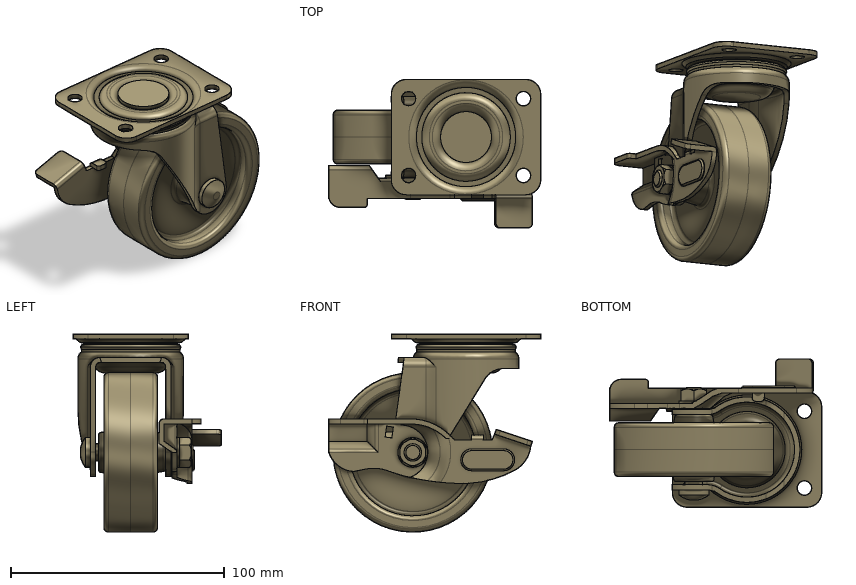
import cadquery as cq
import math


overall_length = 99.3

plate_length = 70.0
plate_width = 54.0
plate_thickness = 2.3
plate_corner_radius = 7.0
hole_spacing_x = 53.7
hole_spacing_y = 35.9
hole_diameter = 6.7
dish_floor_z = -4.4
dish_floor_radius = 21.8
dish_edge_radius = 23.8
dish_edge_z = -3.9
dish_top_radius = 25.6
groove_outer_radius = 26.8
groove_floor_outer_radius = 23.2
groove_floor_inner_radius = 20.7
groove_floor_z = -2.1
groove_inner_radius = 17.2
countersink_radius = 15.8
countersink_depth = 1.9

kingpin_radius = 11.9
kingpin_bottom_z = -15.9

fork_sheet = 2.5
fork_outer_y = 18.9
head_radius = 24.7
head_top_z = -8.4
head_rim_radius = 23.1
head_rim_z = -11.6
leg_blend_radius = 7.9
shoulder_top_z = -10.9
shoulder_fillet = 4.5
shoulder_x = -29.0
shoulder_bulge = 2.8
skirt_bottom_z = -16.2
skirt_fillet = 9.9
leg_eye_z = -56.6
leg_eye_radius = 10.1
leg_back_lean = math.radians(7.7)
leg_front_lean = math.radians(31.6)
collar_seat_radius = 21.6
collar_top_radius = 22.8
collar_top_z = -5.0
collar_ridge_radius = 23.5
collar_ridge_z = -6.1
collar_neck_z = -7.2
cup_rim_radius = 17.9
cup_side_radius = 16.9
cup_side_z = -15.4
cup_floor_radius = 11.2
cup_floor_z = -18.3

axle_x = -24.9
axle_z = -55.4
wheel_radius = 37.3
wheel_half_width = 12.6
tread_round = 2.2
rim_inner_radius = 31.9
rim_wall_radius = 29.7
web_radius = 27.7
web_half_width = 5.0
hub_root_radius = 12.2
hub_neck_radius = 10.5
hub_neck_y = 6.9
hub_radius = 9.4
hub_end_y = 15.0
brake_hub_radius = 8.9
hub_round = 1.2

bolt_radius = 4.1
bolt_head_radius = 7.0
bolt_head_side = 2.3
bolt_head_height = 4.7
bolt_head_flat_radius = 2.0
bolt_tip_y = -29.2
bolt_tip_chamfer = 0.8
nut_outer_y = -28.3
nut_flange_thickness = 1.2
nut_corner_radius = 6.9
nut_corner_chamfer = 0.8

pedal_sheet = 2.4
pedal_back_y = -19.3
handle_face_y = -28.8
pedal_top_z = -39.7
pedal_left_x = plate_length / 2 - overall_length
crown_x = -25.9
crown_radius = 25.9
crown_angle = math.radians(45)
lever_top_z = -49.5
lever_notch_x = 12.1
tip_middle = (28.2, -58.7)
tip_end = (23.0, -63.6)
belly_front = (10.0, -68.6)
belly_bottom = (-4.0, -69.9)
belly_back = (-17.5, -68.7)
belly_end = (-31.6, -65.7)
waist_start = (-37.1, -63.8)
waist_middle = (-42.1, -62.8)
waist_end = (-46.7, -63.1)
heel_start = (-52.6, -64.3)
heel_middle = (-61.2, -60.5)
heel_top_z = -55.2
pedal_clear_z = -74.5
bowl_x = -30.5
bowl_z = -55.2
bowl_inner_radius = 12.6
bowl_cone_radius = 18.4
bowl_cone_y = -26.7
bowl_outer_radius = 23.3

pocket_back_y = -13.3
pocket_right_x = -45.3
pocket_bottom_z = -51.2
pocket_slope = 4.2
pocket_rim_bend = 2.0
pocket_wall_shift = 1.0

rest_outer_y = -33.0
rest_right_x = -46.2
rest_left_round = 5.5
rest_right_round = 1.5
flange_bend = 2.2
flange_edge_bend = 1.5

foot_start = (14.1, -44.6)
foot_end = (31.1, -50.2)
foot_slope = math.atan2(foot_start[1] - foot_end[1], foot_end[0] - foot_start[0])
foot_outer_y = -42.5
foot_round = 2.1
foot_bend = 2.3

lip_left_x = 2.5
lip_right_x = 8.1
lip_top_z = -47.3
lip_inner_y = -22.6
lip_bend = 2.0
lip_round = 1.5

emboss_x = 10.1
emboss_z = -58.9
emboss_length = 25.2
emboss_height = 10.2
emboss_depth = 1.1
emboss_chamfer = 0.8

window_x = -35.9
window_z = -45.9
window_width = 3.2
window_height = 5.2
tongue_inner_y = -17.9


def box(x0, x1, y0, y1, z0, z1):
    """Box between two opposite corners."""
    return cq.Workplane("XY").box(x1 - x0, y1 - y0, z1 - z0, centered=False).translate((x0, y0, z0))


def cylinder_y(x, z, radius, y0, y1):
    """Cylinder along Y from y0 to y1."""
    return cq.Workplane(cq.Solid.makeCylinder(radius, y1 - y0, cq.Vector(x, y0, z), cq.Vector(0, 1, 0)))


def turned_z(profile):
    """Revolve an XZ profile around the swivel axis."""
    return profile.close().revolve(360, (0, 0, 0), (0, 1, 0))


def turned_y(profile, x, z):
    """Revolve an XY profile, X being the radius, around Y and move it to (x, z)."""
    return profile.close().revolve(360, (0, 0, 0), (0, 1, 0)).translate((x, 0, z))


def extruded_y(profile, y0, y1):
    """Extrude a closed XZ profile between two Y positions."""
    return profile.extrude(-(y1 - y0)).translate((0, y0, 0))


def make_plate():
    sheet = (
        cq.Workplane("XY")
        .rect(plate_length, plate_width)
        .extrude(-plate_thickness)
        .edges("|Z")
        .fillet(plate_corner_radius)
    )
    dish = turned_z(
        cq.Workplane("XZ")
        .moveTo(0, -plate_thickness / 2)
        .lineTo(dish_top_radius, -plate_thickness / 2)
        .lineTo(dish_top_radius, -plate_thickness)
        .lineTo(dish_edge_radius, dish_edge_z)
        .lineTo(dish_floor_radius, dish_floor_z)
        .lineTo(0, dish_floor_z)
    )
    groove = turned_z(
        cq.Workplane("XZ")
        .moveTo(groove_outer_radius, 0)
        .threePointArc(
            ((groove_outer_radius + groove_floor_outer_radius) / 2, groove_floor_z / 4),
            (groove_floor_outer_radius, groove_floor_z),
        )
        .lineTo(groove_floor_inner_radius, groove_floor_z)
        .threePointArc(
            ((groove_floor_inner_radius + groove_inner_radius) / 2, groove_floor_z / 4),
            (groove_inner_radius, 0),
        )
    )
    countersink = turned_z(
        cq.Workplane("XZ")
        .moveTo(countersink_radius, 0)
        .threePointArc(
            ((countersink_radius + kingpin_radius) / 2, -countersink_depth / 3),
            (kingpin_radius, -countersink_depth),
        )
        .lineTo(0, -countersink_depth)
        .lineTo(0, 0)
    )
    mounting_holes = (
        cq.Workplane("XY")
        .rect(hole_spacing_x, hole_spacing_y, forConstruction=True)
        .vertices()
        .circle(hole_diameter / 2)
        .extrude(-plate_thickness)
    )
    kingpin_hole = cq.Workplane("XY").circle(kingpin_radius).extrude(dish_floor_z)
    return sheet.union(dish).cut(groove).cut(countersink).cut(mounting_holes).cut(kingpin_hole)


def make_kingpin():
    return cq.Workplane("XY").circle(kingpin_radius).extrude(kingpin_bottom_z)


def fork_plan(inset):
    """Plan of two parallel legs blended into the round head, inset by a wall thickness."""
    radius = head_radius - inset
    half_width = fork_outer_y - inset
    blend = leg_blend_radius + inset
    back_x = axle_x - 2 * leg_eye_radius
    blend_x = -math.sqrt((radius + blend) ** 2 - (half_width + blend) ** 2)
    blend_y = half_width + blend
    touch = radius / (radius + blend)
    touch_angle = math.atan2(blend_y, -blend_x)
    mid_angle = (touch_angle + math.pi / 2) / 2
    mid_x = blend_x + blend * math.cos(mid_angle)
    mid_y = blend_y - blend * math.sin(mid_angle)
    return (
        cq.Workplane("XY")
        .moveTo(back_x, -half_width)
        .lineTo(blend_x, -half_width)
        .threePointArc((mid_x, -mid_y), (blend_x * touch, -blend_y * touch))
        .threePointArc((radius, 0), (blend_x * touch, blend_y * touch))
        .threePointArc((mid_x, mid_y), (blend_x, half_width))
        .lineTo(back_x, half_width)
        .close()
    )


def fork_shell_block(inset, top_z):
    """Fork plan extruded down from top_z, with a rounded top edge."""
    depth = top_z - (leg_eye_z - 2 * leg_eye_radius)
    block = fork_plan(inset).extrude(-depth).translate((0, 0, top_z))
    return block.faces(">Z").edges("not <X").fillet(shoulder_fillet - inset)


def leg_side():
    """Side outline of the legs: a rounded eye with two tangent edges rising to the head."""
    back_normal = (-math.cos(leg_back_lean), math.sin(leg_back_lean))
    front_normal = (math.cos(leg_front_lean), -math.sin(leg_front_lean))
    back_x = axle_x + leg_eye_radius * back_normal[0]
    back_z = leg_eye_z + leg_eye_radius * back_normal[1]
    front_x = axle_x + leg_eye_radius * front_normal[0]
    front_z = leg_eye_z + leg_eye_radius * front_normal[1]
    back_top_x = back_x - back_z * math.tan(leg_back_lean)
    front_reach = plate_length / 2
    skirt_x = front_x + (skirt_bottom_z - front_z) * math.tan(leg_front_lean)
    outline = (
        cq.Workplane("XZ")
        .moveTo(back_top_x, 0)
        .lineTo(front_reach, 0)
        .lineTo(front_reach, skirt_bottom_z)
        .lineTo(skirt_x, skirt_bottom_z)
        .lineTo(front_x, front_z)
        .threePointArc((axle_x, leg_eye_z - leg_eye_radius), (back_x, back_z))
        .close()
    )
    side = extruded_y(outline, -front_reach, front_reach)
    corner = cq.selectors.NearestToPointSelector((skirt_x, 0, skirt_bottom_z))
    return side.edges("|Y").edges(corner).fillet(skirt_fillet)


def make_fork():
    head_bottom_z = shoulder_top_z - shoulder_fillet
    rim_drop = head_top_z - head_rim_z
    head = turned_z(
        cq.Workplane("XZ")
        .moveTo(0, head_top_z)
        .lineTo(head_rim_radius, head_top_z)
        .threePointArc(
            (head_radius - 0.2 * (head_radius - head_rim_radius), head_top_z - rim_drop / 2),
            (head_radius, head_rim_z),
        )
        .lineTo(head_radius, head_bottom_z)
        .lineTo(0, head_bottom_z)
    )
    shell = fork_shell_block(0, shoulder_top_z)
    cavity = fork_shell_block(fork_sheet, shoulder_top_z - fork_sheet)
    shell = shell.cut(cavity).intersect(leg_side()).union(head.cut(cavity))

    half_bridge = fork_outer_y - shoulder_fillet
    bridge_edge = (
        cq.Workplane("XY")
        .moveTo(shoulder_x + shoulder_bulge, -half_bridge)
        .lineTo(shoulder_x, -half_bridge)
        .threePointArc((shoulder_x - shoulder_bulge, 0), (shoulder_x, half_bridge))
        .lineTo(shoulder_x + shoulder_bulge, half_bridge)
        .close()
        .extrude(-fork_sheet)
        .translate((0, 0, shoulder_top_z))
    )
    collar = turned_z(
        cq.Workplane("XZ")
        .moveTo(0, dish_floor_z)
        .lineTo(collar_seat_radius, dish_floor_z)
        .lineTo(collar_seat_radius, collar_top_z)
        .lineTo(collar_top_radius, collar_top_z)
        .lineTo(collar_ridge_radius, collar_ridge_z)
        .lineTo(head_rim_radius, collar_neck_z)
        .lineTo(head_rim_radius, head_top_z)
        .lineTo(0, head_top_z)
    )
    cup = turned_z(
        cq.Workplane("XZ")
        .moveTo(0, shoulder_top_z - fork_sheet)
        .lineTo(cup_rim_radius, shoulder_top_z - fork_sheet)
        .lineTo(cup_side_radius, cup_side_z)
        .threePointArc(
            (0.6 * cup_side_radius + 0.4 * cup_floor_radius, 0.25 * cup_side_z + 0.75 * cup_floor_z),
            (cup_floor_radius, cup_floor_z),
        )
        .lineTo(0, cup_floor_z)
    )
    fork = shell.union(bridge_edge).union(collar).union(cup)
    return fork.cut(make_kingpin()).cut(make_bolt())


def wheel_half(end_y, end_radius):
    """Half of the wheel on the +Y side of its middle plane, with a hub that narrows to its end face."""
    wall_round = rim_inner_radius - rim_wall_radius
    bend = 1 - math.sqrt(0.5)
    profile = (
        cq.Workplane("XY")
        .moveTo(bolt_radius, 0)
        .lineTo(bolt_radius, end_y)
        .lineTo(end_radius - hub_round, end_y)
        .threePointArc(
            (end_radius - bend * hub_round, end_y - bend * hub_round),
            (end_radius, end_y - hub_round),
        )
        .lineTo(hub_neck_radius, hub_neck_y)
        .threePointArc(
            (0.7 * hub_neck_radius + 0.3 * hub_root_radius, 0.3 * hub_neck_y + 0.7 * web_half_width),
            (hub_root_radius, web_half_width),
        )
        .lineTo(web_radius, web_half_width)
        .radiusArc(
            (rim_wall_radius, web_half_width + rim_wall_radius - web_radius),
            web_radius - rim_wall_radius,
        )
        .lineTo(rim_wall_radius, wheel_half_width - wall_round)
        .radiusArc((rim_inner_radius, wheel_half_width), wall_round)
        .lineTo(wheel_radius - tread_round, wheel_half_width)
        .radiusArc((wheel_radius, wheel_half_width - tread_round), tread_round)
        .lineTo(wheel_radius, 0)
    )
    return turned_y(profile, axle_x, axle_z)


def make_wheel():
    far_half = wheel_half(hub_end_y, hub_radius)
    brake_half = wheel_half(fork_outer_y - fork_sheet, brake_hub_radius).mirror("XZ")
    return far_half.union(brake_half).clean()


def make_bolt():
    head_end_y = fork_outer_y + bolt_head_height
    dome_y = fork_outer_y + bolt_head_side
    profile = (
        cq.Workplane("XY")
        .moveTo(0, bolt_tip_y)
        .lineTo(bolt_radius - bolt_tip_chamfer, bolt_tip_y)
        .lineTo(bolt_radius, bolt_tip_y + bolt_tip_chamfer)
        .lineTo(bolt_radius, fork_outer_y)
        .lineTo(bolt_head_radius, fork_outer_y)
        .lineTo(bolt_head_radius, dome_y)
        .threePointArc(
            ((bolt_head_radius + bolt_head_flat_radius) / 2, (dome_y + 2 * head_end_y) / 3),
            (bolt_head_flat_radius, head_end_y),
        )
        .lineTo(0, head_end_y)
    )
    return turned_y(profile, axle_x, axle_z)


def make_nut():
    seat_y = pedal_back_y - pedal_sheet
    flange_y = seat_y - nut_flange_thickness
    flange = cylinder_y(axle_x, axle_z, nut_corner_radius, flange_y, seat_y)
    hexagon = (
        cq.Workplane("XZ")
        .polygon(6, 2 * nut_corner_radius)
        .extrude(flange_y - nut_outer_y)
        .rotate((0, 0, 0), (0, 1, 0), 30)
        .translate((axle_x, flange_y, axle_z))
    )
    corner_trim = cylinder_y(axle_x, axle_z, nut_corner_radius, nut_outer_y, flange_y)
    corner_trim = corner_trim.faces("<Y").chamfer(nut_corner_chamfer)
    bore = cylinder_y(axle_x, axle_z, bolt_radius, nut_outer_y, seat_y)
    return hexagon.intersect(corner_trim).union(flange).cut(bore)


def crown_point(inset, angle):
    """Point on the curved top of the pedal, inset from its surface."""
    radius = crown_radius - inset
    return (crown_x + radius * math.sin(angle), pedal_top_z - crown_radius + radius * math.cos(angle))


def pedal_outline():
    """Side outline of the pedal, from the flat top round to the swept lower edge."""
    crown_end = crown_point(0, crown_angle)
    under = (pedal_sheet * math.sin(foot_slope), pedal_sheet * math.cos(foot_slope))
    lever_start_x = crown_end[0] + (crown_end[1] - lever_top_z) / math.tan(crown_angle)
    return (
        cq.Workplane("XZ")
        .moveTo(pedal_left_x, pedal_top_z)
        .lineTo(crown_x, pedal_top_z)
        .threePointArc(crown_point(0, crown_angle / 2), crown_end)
        .lineTo(lever_start_x, lever_top_z)
        .lineTo(lever_notch_x, lever_top_z)
        .lineTo(foot_start[0] - under[0], foot_start[1] - under[1])
        .lineTo(foot_end[0] - under[0], foot_end[1] - under[1])
        .threePointArc(tip_middle, tip_end)
        .threePointArc(belly_front, belly_bottom)
        .threePointArc(belly_back, belly_end)
        .lineTo(*waist_start)
        .threePointArc(waist_middle, waist_end)
        .lineTo(*heel_start)
        .threePointArc(heel_middle, (pedal_left_x, heel_top_z))
        .close()
    )


def tapered_block(back_y, back, front_y, front):
    """Block whose XZ rectangle (right x, bottom z, left x, top z) changes from back_y to front_y."""
    def rectangle(y, sides):
        right, bottom, left, top = sides
        corners = [(left, y, bottom), (right, y, bottom), (right, y, top), (left, y, top)]
        return cq.Wire.makePolygon([cq.Vector(*corner) for corner in corners], close=True)

    return cq.Workplane(cq.Solid.makeLoft([rectangle(back_y, back), rectangle(front_y, front)], True))


def bowl_side(profile, y):
    """Turned bowl volume, continued to the left of the bowl centre by a flat-backed block."""
    flat = box(pedal_left_x, bowl_x, handle_face_y, y, pedal_clear_z, pedal_top_z)
    return turned_y(profile, bowl_x, bowl_z).union(flat)


def pedal_sheet_body():
    """Flat plate beside the leg, joined by a conical bowl wall to the lever and topped by a flange."""
    web_face_y = pedal_back_y - pedal_sheet
    lever_back_y = handle_face_y + pedal_sheet
    reach = 2 * plate_length
    wall_shift = pedal_sheet * math.sqrt(0.5)
    behind_wall = bowl_side(
        cq.Workplane("XY")
        .moveTo(0, pedal_back_y)
        .lineTo(bowl_inner_radius + pedal_sheet - wall_shift, pedal_back_y)
        .lineTo(bowl_cone_radius + wall_shift, bowl_cone_y + wall_shift)
        .lineTo(bowl_outer_radius, lever_back_y)
        .lineTo(reach, lever_back_y)
        .lineTo(reach, handle_face_y)
        .lineTo(0, handle_face_y),
        pedal_back_y,
    )
    bowl = bowl_side(
        cq.Workplane("XY")
        .moveTo(0, web_face_y)
        .lineTo(bowl_inner_radius, web_face_y)
        .lineTo(bowl_cone_radius, bowl_cone_y)
        .threePointArc(
            ((bowl_cone_radius + bowl_outer_radius) / 2, (bowl_cone_y + 3 * handle_face_y) / 4),
            (bowl_outer_radius, handle_face_y),
        )
        .lineTo(0, handle_face_y),
        web_face_y,
    )
    crown_end = crown_point(pedal_sheet, crown_angle)
    below_flange = extruded_y(
        cq.Workplane("XZ")
        .moveTo(pedal_left_x, pedal_top_z - pedal_sheet)
        .lineTo(crown_x, pedal_top_z - pedal_sheet)
        .threePointArc(crown_point(pedal_sheet, crown_angle / 2), crown_end)
        .lineTo(bowl_x + bowl_outer_radius, crown_end[1])
        .lineTo(bowl_x + bowl_outer_radius, pedal_clear_z)
        .lineTo(pedal_left_x, pedal_clear_z)
        .close(),
        handle_face_y,
        web_face_y,
    )
    outline = extruded_y(pedal_outline(), handle_face_y, pedal_back_y)
    return outline.intersect(behind_wall).cut(bowl.intersect(below_flange))


def add_pocket(pedal):
    """Open-ended pocket pressed from the flat plate towards the wheel."""
    web_face_y = pedal_back_y - pedal_sheet
    shell = tapered_block(
        pocket_back_y,
        (pocket_right_x, pocket_bottom_z, pedal_left_x, pedal_top_z),
        pedal_back_y,
        (pocket_right_x + pocket_slope, pocket_bottom_z - pocket_slope, pedal_left_x, pedal_top_z),
    )
    shell = shell.faces("<Y").wires().toPending().workplane().extrude(pedal_sheet).union(shell)
    shell = shell.edges(">Z and >Y").fillet(flange_bend)
    cavity_right = pocket_right_x - pocket_wall_shift
    cavity_bottom = pocket_bottom_z + pocket_wall_shift
    cavity_top = pedal_top_z - pedal_sheet
    cavity = tapered_block(
        pocket_back_y - pedal_sheet,
        (cavity_right, cavity_bottom, pedal_left_x, cavity_top),
        web_face_y,
        (cavity_right + pocket_slope, cavity_bottom - pocket_slope, pedal_left_x, cavity_top),
    )
    pedal = pedal.union(shell).cut(cavity)
    rim_right = (cavity_right + pocket_slope, web_face_y, (cavity_top + cavity_bottom) / 2)
    rim_bottom = ((pedal_left_x + cavity_right) / 2, web_face_y, cavity_bottom - pocket_slope)
    nearest = cq.selectors.NearestToPointSelector
    rim_edges = pedal.edges(nearest(rim_right)).add(pedal.edges(nearest(rim_bottom)))
    pedal = rim_edges.fillet(pocket_rim_bend)
    flange_edge = (crown_x - crown_radius / 3, pedal_back_y, pedal_top_z)
    return pedal.edges(nearest(flange_edge)).fillet(flange_edge_bend)


def make_rest():
    """Wider left end of the top flange."""
    rest = box(
        pedal_left_x, rest_right_x, rest_outer_y, handle_face_y + pedal_sheet,
        pedal_top_z - pedal_sheet, pedal_top_z,
    )
    rest = rest.edges("|Z and <X and <Y").fillet(rest_left_round)
    return rest.edges("|Z and >X and <Y").fillet(rest_right_round)


def make_foot_tab():
    """Sloping tab bent outward from the end of the lever."""
    length = math.dist(foot_start, foot_end)
    tab = box(0, length, foot_outer_y, handle_face_y + pedal_sheet, -pedal_sheet, 0)
    tab = tab.edges("|Z and <Y").fillet(foot_round)
    tab = tab.edges("|X and >Y and >Z").fillet(foot_bend)
    return tab.rotate((0, 0, 0), (0, 1, 0), math.degrees(foot_slope)).translate((foot_start[0], 0, foot_start[1]))


def make_lip():
    """Small tab bent inward from the top edge of the lever."""
    lip = box(lip_left_x, lip_right_x, handle_face_y, lip_inner_y, lip_top_z - pedal_sheet, lip_top_z)
    lip = lip.edges("|X and >Z and <Y").fillet(lip_bend)
    return lip.edges("|Z and >Y").fillet(lip_round)


def make_emboss():
    """Raised oblong on the outer face of the lever."""
    pad = (
        cq.Workplane("XZ")
        .slot2D(emboss_length, emboss_height)
        .extrude(emboss_depth)
        .faces("<Y")
        .chamfer(emboss_chamfer)
    )
    return pad.translate((emboss_x, handle_face_y, emboss_z))


def window_block(y0, y1):
    """Block the size of the pedal window, leaning with the back edge of the leg."""
    block = box(-window_width / 2, window_width / 2, y0, y1, -window_height / 2, window_height / 2)
    lean = math.degrees(leg_back_lean)
    return block.rotate((0, 0, 0), (0, 1, 0), lean).translate((window_x, 0, window_z))


def make_tongue():
    """Tongue left in the lower half of the window, leaning towards the wheel."""
    web_face_y = pedal_back_y - pedal_sheet
    bottom_z = window_z - window_height / 2
    tongue = (
        cq.Workplane("YZ")
        .moveTo(web_face_y, bottom_z)
        .lineTo(pedal_back_y, bottom_z)
        .lineTo(tongue_inner_y, window_z)
        .lineTo(pedal_back_y, window_z)
        .close()
        .extrude(2 * window_width)
        .translate((window_x - window_width, 0, 0))
    )
    return tongue.intersect(window_block(web_face_y, tongue_inner_y))


def make_pedal():
    pedal = add_pocket(pedal_sheet_body())
    pedal = pedal.union(make_rest()).union(make_foot_tab()).union(make_lip()).union(make_emboss())
    web_face_y = pedal_back_y - pedal_sheet
    pedal = pedal.cut(window_block(web_face_y, pedal_back_y)).union(make_tongue())
    return pedal.cut(cylinder_y(axle_x, axle_z, bolt_radius, web_face_y, pedal_back_y))


plate = make_plate()
kingpin = make_kingpin()
fork = make_fork()
wheel = make_wheel()
bolt = make_bolt()
nut = make_nut()
pedal = make_pedal()

result = cq.Compound.makeCompound(
    [
        plate.val(),
        kingpin.val(),
        fork.val(),
        wheel.val(),
        bolt.val(),
        nut.val(),
        pedal.val(),
    ]
)